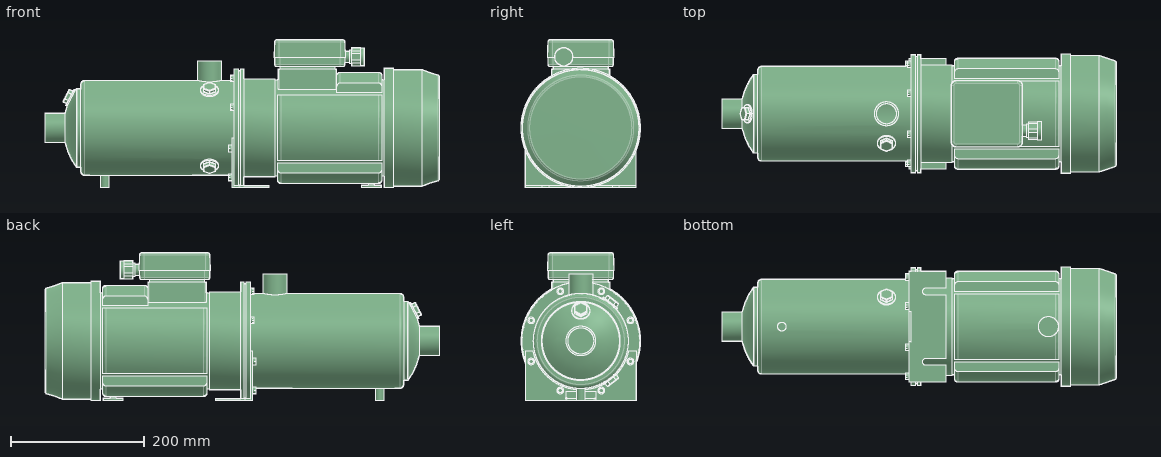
import cadquery as cq
import math


barrel_diameter, barrel_bore = 142.5, 140.0
barrel_radius = barrel_diameter / 2
wall = (barrel_diameter - barrel_bore) / 2
inlet_diameter, inlet_bore = 44.0, 39.0
dome_apex_x = 28.0
collar_start_x = 47.0
collar_radius = 59.0
barrel_start_x = 54.0
barrel_edge_radius = 6.0
dome_center_x = dome_apex_x + ((collar_start_x - dome_apex_x) ** 2 + collar_radius ** 2) / (
    2 * (collar_start_x - dome_apex_x))
dome_radius = dome_center_x - dome_apex_x
casing_flange_x, casing_flange_end_x = 283.0, 290.0
flange_diameter = 176.5

outlet_x = 246.0
outlet_diameter, outlet_bore = 36.0, 30.0
outlet_top_z = 100.5
foot_z = -89.0
drain_x = 90.0
drain_diameter = 13.0

hexagon_sides = 6

bolt_count = 8
bolt_circle_radius = 80.5
bolt_head_diameter, bolt_head_height = 10.0, 5.5
bolt_shank_diameter = 7.0
bolt_socket_diameter, bolt_socket_depth = 7.0, 2.5

boss_diameter = 27.0
boss_rise = 1.0
plug_head_diameter, plug_head_height = 21.0, 6.5
plug_head_chamfer = 0.9
plug_shank_diameter = 17.0
plug_depth = 3.5
dome_plug_tilt = 27
side_plug_tilt = 52

plate_thickness = 3.0
foot_top_z = foot_z + plate_thickness
bracket_width = 166.0
bracket_top_z = -15.5
bracket_end_x = 335.5
bracket_opening_radius = 73.0
window_width, window_top_z = 45.0, -75.5
slot_width, slot_y, slot_length = 10.0, 52.5, 35.5

lantern_flange_end_x = 297.5
gasket_land, gasket_land_radius = 2.5, 85.5
lantern_radius, lantern_end_x = 73.0, 344.5
body_radius = 72.0
pad_start_x, pad_end_x = 348.0, 504.5
pad_radius = 83.0
pad_width = 98.0
pad_edge_radius = 5.5
top_pad_start_x = 436.5
pedestal_start_x = 349.0
pedestal_width, pedestal_top_z = 87.5, 88.0
pedestal_edge_radius = 2.0
neck_inset = 2.5
rear_foot_x = 488.5
rear_foot_diameter, rear_foot_thickness = 30.0, 3.5
rear_post_diameter = 9.0

cover_start_x, rim_end_x = 507.5, 521.5
rim_diameter, cover_diameter = 179.0, 175.0
recess_diameter, recess_depth = 174.0, 13.0
hub_diameter = 71.0
taper_start_x, taper_end_x, cover_end_x = 564.0, 590.0, 590.5
cover_end_radius = 78.5
cover_edge_radius = 3.0
recess_end_x = cover_start_x + recess_depth

box_start_x, box_end_x = 344.0, 449.0
box_width = 98.0
overall_height = 221.5
box_bottom_z, lid_bottom_z = 91.5, 105.0
box_top_z = overall_height - rim_diameter / 2
lid_overhang = 0.9
box_corner_radius, box_edge_radius = 7.5, 3.5
lid_taper = 2.0
gland_y, gland_z = -25.5, 106.5
gland_neck_diameter, gland_neck_length = 17.0, 6.5
gland_collar_diameter, gland_collar_length = 20.5, 3.5
gland_nut_diameter, gland_nut_corners, gland_nut_length = 28.0, 30.0, 13.5
gland_cap_diameter, gland_cap_length = 27.0, 5.5


def x_cylinder(start_x, end_x, diameter, y=0, z=0):
    """Cylinder along X between two stations."""
    plane = cq.Plane(origin=(start_x, y, z), xDir=(0, 1, 0), normal=(1, 0, 0))
    return cq.Workplane(plane).circle(diameter / 2).extrude(end_x - start_x)


def z_cylinder(x, low_z, high_z, diameter):
    """Upright cylinder centred on the shaft plane."""
    return cq.Workplane("XY", origin=(x, 0, low_z)).circle(diameter / 2).extrude(high_z - low_z)


def block(start_x, end_x, width, low_z, high_z):
    """Rectangular block centred on the shaft plane."""
    centered = (False, True, False)
    return cq.Workplane("XY", origin=(start_x, 0, low_z)).box(
        end_x - start_x, width, high_z - low_z, centered=centered)


def revolve_about_shaft(profile):
    return profile.revolve(360, (0, 0, 0), (1, 0, 0))


def make_flange(start_x, end_x):
    """Round flange with a flat at the bottom that rests on the bracket foot."""
    disc = x_cylinder(start_x, end_x, flange_diameter)
    return disc.intersect(block(start_x, end_x, flange_diameter, foot_top_z, flange_diameter / 2))


def casing_form(inset):
    """Dome, collar and barrel as one solid, moved inwards by the inset."""
    radius = dome_radius - inset
    collar = collar_radius - inset
    half_angle = math.asin(collar / radius) / 2
    apex_x = dome_apex_x + inset
    dome_middle = (dome_center_x - radius * math.cos(half_angle), radius * math.sin(half_angle))
    dome_edge_x = dome_center_x - math.sqrt(radius ** 2 - collar ** 2)
    edge = barrel_edge_radius - inset
    shoulder_x = barrel_start_x + inset
    barrel = barrel_radius - inset
    return revolve_about_shaft(
        cq.Workplane("XY")
        .moveTo(apex_x, 0)
        .threePointArc(dome_middle, (dome_edge_x, collar))
        .lineTo(shoulder_x, collar)
        .lineTo(shoulder_x, barrel - edge)
        .radiusArc((shoulder_x + edge, barrel), edge)
        .lineTo(casing_flange_end_x, barrel)
        .lineTo(casing_flange_end_x, 0)
        .close())


def plug_planes():
    """Planes on the casing surface, each with its normal along a plug axis."""
    tilt = math.radians(dome_plug_tilt)
    dome_normal = cq.Vector(-math.cos(tilt), 0, math.sin(tilt))
    planes = [cq.Plane(cq.Vector(dome_center_x, 0, 0) + dome_normal * dome_radius, (0, 1, 0), dome_normal)]
    for angle in (side_plug_tilt, -side_plug_tilt):
        tilt = math.radians(angle)
        normal = cq.Vector(0, -math.cos(tilt), math.sin(tilt))
        planes.append(cq.Plane(cq.Vector(outlet_x, 0, 0) + normal * barrel_radius, (1, 0, 0), normal))
    return planes


def bolt_places():
    """Y and Z of every flange bolt."""
    pitch = 2 * math.pi / bolt_count
    angles = [pitch * (index + 0.5) for index in range(bolt_count)]
    return [(bolt_circle_radius * math.cos(a), bolt_circle_radius * math.sin(a)) for a in angles]


def seat_x(bolt_z):
    """Bolt heads below the bracket top sit on its plate, the others on the casing flange."""
    return casing_flange_x - plate_thickness if bolt_z < bracket_top_z else casing_flange_x


def make_casing():
    outer = casing_form(0)
    outer = outer.union(x_cylinder(0, collar_start_x, inlet_diameter))
    outer = outer.union(make_flange(casing_flange_x, casing_flange_end_x))
    outer = outer.union(z_cylinder(outlet_x, 0, outlet_top_z, outlet_diameter))
    outer = outer.union(z_cylinder(drain_x, foot_z, 0, drain_diameter))
    for plane in plug_planes():
        boss = cq.Workplane(plane).workplane(offset=-plug_depth).circle(boss_diameter / 2)
        outer = outer.union(boss.extrude(plug_depth + boss_rise))
    casing = outer.cut(casing_form(wall))
    casing = casing.cut(x_cylinder(0, collar_start_x, inlet_bore))
    casing = casing.cut(z_cylinder(outlet_x, 0, outlet_top_z, outlet_bore))
    for plane in plug_planes():
        hole = cq.Workplane(plane).workplane(offset=-plug_depth).circle(plug_shank_diameter / 2)
        casing = casing.cut(hole.extrude(plug_depth + boss_rise))
    for y, z in bolt_places():
        head_base = seat_x(z)
        head_top = head_base - bolt_head_height
        casing = casing.union(x_cylinder(head_top, head_base, bolt_head_diameter, y, z))
        casing = casing.union(x_cylinder(head_base, casing_flange_end_x, bolt_shank_diameter, y, z))
        socket_plane = cq.Plane(origin=(head_top, y, z), xDir=(0, 1, 0), normal=(1, 0, 0))
        socket = cq.Workplane(socket_plane).polygon(hexagon_sides, bolt_socket_diameter)
        casing = casing.cut(socket.extrude(bolt_socket_depth))
    return casing


def make_plug(plane):
    """Hexagon-headed plug with a round shank; two corners lie across the local X."""
    head = (
        cq.Workplane(plane).workplane(offset=boss_rise)
        .transformed(rotate=(0, 0, 90))
        .polygon(hexagon_sides, plug_head_diameter)
        .extrude(plug_head_height)
        .faces(cq.selectors.DirectionMinMaxSelector(plane.zDir, True))
        .chamfer(plug_head_chamfer))
    shank = cq.Workplane(plane).workplane(offset=-plug_depth).circle(plug_shank_diameter / 2)
    return head.union(shank.extrude(plug_depth + boss_rise))


def make_bracket():
    front_x = casing_flange_x - plate_thickness
    plate = block(front_x, casing_flange_x, bracket_width, foot_z, bracket_top_z)
    plate = plate.cut(x_cylinder(front_x, casing_flange_x, 2 * bracket_opening_radius))
    plate = plate.cut(block(front_x, casing_flange_x, window_width, foot_z, window_top_z))
    for y, z in bolt_places():
        plate = plate.cut(x_cylinder(front_x, casing_flange_x, bolt_shank_diameter, y, z))
    foot = block(casing_flange_x, bracket_end_x, bracket_width, foot_z, foot_top_z)
    slots = (
        cq.Workplane("XY", origin=(bracket_end_x, 0, foot_z))
        .pushPoints([(0, -slot_y), (0, slot_y)])
        .slot2D(2 * slot_length, slot_width)
        .extrude(plate_thickness))
    return plate.union(foot.cut(slots))


def make_pad(start_x, turn):
    """Raised cylindrical pad on top of the motor body, turned about the shaft."""
    disc = x_cylinder(start_x, pad_end_x, 2 * pad_radius).edges("%CIRCLE").fillet(pad_edge_radius)
    pad = disc.intersect(block(start_x, pad_end_x, pad_width, 0, pad_radius))
    return pad.rotate((0, 0, 0), (1, 0, 0), turn)


def make_motor():
    land_end_x = casing_flange_end_x + gasket_land
    motor = x_cylinder(casing_flange_end_x, cover_start_x, 2 * body_radius)
    motor = motor.union(x_cylinder(cover_start_x, recess_end_x, hub_diameter))
    motor = motor.union(x_cylinder(casing_flange_end_x, land_end_x, 2 * gasket_land_radius))
    motor = motor.union(make_flange(land_end_x, lantern_flange_end_x))
    motor = motor.union(x_cylinder(land_end_x, lantern_end_x, 2 * lantern_radius))
    motor = motor.union(make_pad(top_pad_start_x, 0))
    for turn in (90, 180, 270):
        motor = motor.union(make_pad(pad_start_x, turn))
    pedestal = block(pedestal_start_x, top_pad_start_x, pedestal_width, 0, pedestal_top_z)
    motor = motor.union(pedestal.edges("|Z").fillet(pedestal_edge_radius))
    motor = motor.union(block(
        pedestal_start_x + neck_inset, top_pad_start_x - neck_inset,
        pedestal_width - 2 * neck_inset, pedestal_top_z, box_bottom_z))
    motor = motor.union(z_cylinder(rear_foot_x, foot_z, -body_radius, rear_post_diameter))
    return motor.union(z_cylinder(rear_foot_x, foot_z, foot_z + rear_foot_thickness, rear_foot_diameter))


def make_fan_cover():
    cover = revolve_about_shaft(
        cq.Workplane("XY")
        .moveTo(cover_start_x, 0)
        .lineTo(cover_start_x, rim_diameter / 2)
        .lineTo(rim_end_x, rim_diameter / 2)
        .lineTo(rim_end_x, cover_diameter / 2)
        .lineTo(taper_start_x, cover_diameter / 2)
        .lineTo(taper_end_x, cover_end_radius)
        .lineTo(cover_end_x, 0)
        .close())
    cover = cover.edges("%CIRCLE").edges(">X").fillet(cover_edge_radius)
    return cover.cut(x_cylinder(cover_start_x, recess_end_x, recess_diameter))


def make_terminal_box():
    length = box_end_x - box_start_x
    center_x = (box_start_x + box_end_x) / 2
    tray = block(box_start_x, box_end_x, box_width, box_bottom_z, lid_bottom_z)
    tray = tray.edges("|Z").fillet(box_corner_radius).faces("<Z").edges().fillet(box_edge_radius)
    lid = (
        cq.Workplane("XY", origin=(center_x, 0, lid_bottom_z))
        .sketch()
        .rect(length + 2 * lid_overhang, box_width + 2 * lid_overhang)
        .vertices().fillet(box_corner_radius)
        .finalize()
        .extrude(box_top_z - lid_bottom_z, taper=lid_taper)
        .faces(">Z").edges().fillet(box_edge_radius))
    box = tray.union(lid)

    neck_end_x = box_end_x + gland_neck_length
    collar_end_x = neck_end_x + gland_collar_length
    nut_end_x = collar_end_x + gland_nut_length
    inside_x = box_end_x - box_corner_radius
    box = box.union(x_cylinder(inside_x, neck_end_x, gland_neck_diameter, gland_y, gland_z))
    box = box.union(x_cylinder(neck_end_x, collar_end_x, gland_collar_diameter, gland_y, gland_z))
    nut_plane = cq.Plane(origin=(collar_end_x, gland_y, gland_z), xDir=(0, 0, 1), normal=(1, 0, 0))
    nut = cq.Workplane(nut_plane).polygon(hexagon_sides, gland_nut_corners).extrude(gland_nut_length)
    nut = nut.intersect(x_cylinder(collar_end_x, nut_end_x, gland_nut_diameter, gland_y, gland_z))
    box = box.union(nut)
    cap_end_x = nut_end_x + gland_cap_length
    return box.union(x_cylinder(nut_end_x, cap_end_x, gland_cap_diameter, gland_y, gland_z))


casing = make_casing()
plugs = [make_plug(plane) for plane in plug_planes()]
bracket = make_bracket()
motor = make_motor()
fan_cover = make_fan_cover()
terminal_box = make_terminal_box()

result = cq.Compound.makeCompound([
    casing.val(),
    *[plug.val() for plug in plugs],
    bracket.val(),
    motor.val(),
    fan_cover.val(),
    terminal_box.val(),
])